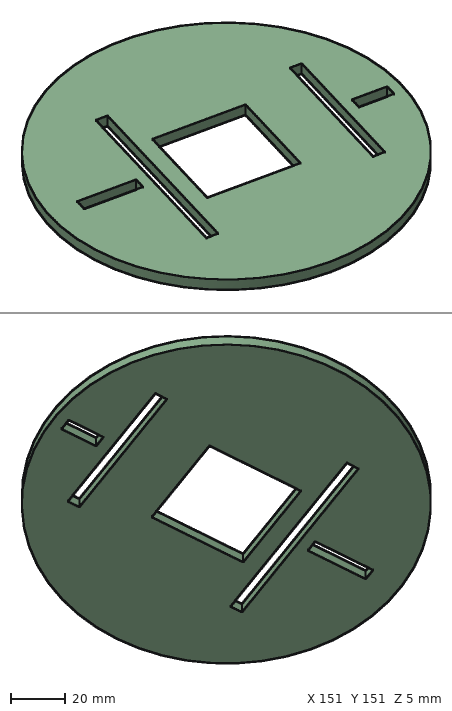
import cadquery as cq

disc_diameter = 151
thickness = 5.0

window_side = 39.9

slot_width = thickness

upper_cross_length = 60.4
upper_cross_y = 47.5
lower_cross_length = 80.3
lower_cross_y = -29.7

upper_radial_length = 15.1
upper_radial_y = 62.8
lower_radial_length = 25.2
lower_radial_y = -49.8


def through_opening(size_x, size_y, center_y):
    """Rectangular cutter on the Y axis, as deep as the disc is thick."""
    return (
        cq.Workplane("XY")
        .center(0, center_y)
        .rect(size_x, size_y)
        .extrude(thickness)
    )


openings = [
    through_opening(window_side, window_side, 0),
    through_opening(upper_cross_length, slot_width, upper_cross_y),
    through_opening(lower_cross_length, slot_width, lower_cross_y),
    through_opening(slot_width, upper_radial_length, upper_radial_y),
    through_opening(slot_width, lower_radial_length, lower_radial_y),
]

result = cq.Workplane("XY").circle(disc_diameter / 2).extrude(thickness)
for opening in openings:
    result = result.cut(opening)